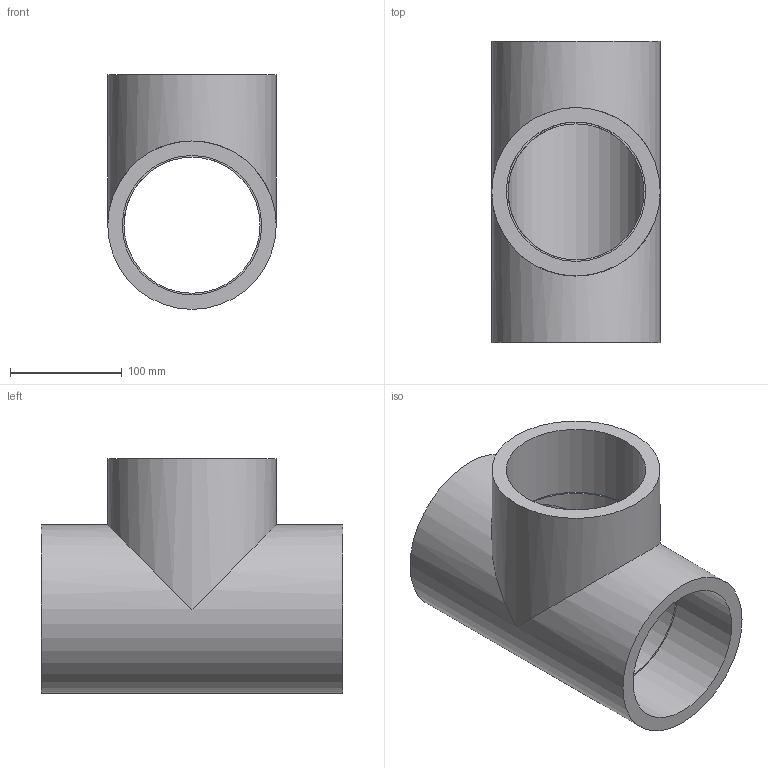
import cadquery as cq

OUTER_DIAMETER = 151.0
SOCKET_DIAMETER = 125.0
BORE_DIAMETER = 122.0
CENTRE_TO_END = 135.0
SOCKET_DEPTH = 69.0

SHOULDER_DISTANCE = CENTRE_TO_END - SOCKET_DEPTH
ARM_DIRECTIONS = [(0, 1, 0), (0, -1, 0), (0, 0, 1)]


def arm_cylinder(direction, diameter, start, end):
    """Cylinder along one arm, between two distances from the tee centre."""
    base = cq.Vector(*direction) * start
    return cq.Workplane(cq.Solid.makeCylinder(diameter / 2, end - start, base, cq.Vector(*direction)))


def run_cylinder(diameter):
    """Full-length cylinder along the run."""
    return arm_cylinder((0, 1, 0), diameter, -CENTRE_TO_END, CENTRE_TO_END)


def branch_cylinder(diameter):
    """Cylinder from the tee centre to the branch mouth."""
    return arm_cylinder((0, 0, 1), diameter, 0, CENTRE_TO_END)


def tee_shape(diameter):
    """Run and branch of one diameter, joined at the centre."""
    return run_cylinder(diameter).union(branch_cylinder(diameter))


result = tee_shape(OUTER_DIAMETER).cut(tee_shape(BORE_DIAMETER))

for arm_direction in ARM_DIRECTIONS:
    socket = arm_cylinder(arm_direction, SOCKET_DIAMETER, SHOULDER_DISTANCE, CENTRE_TO_END)
    result = result.cut(socket)